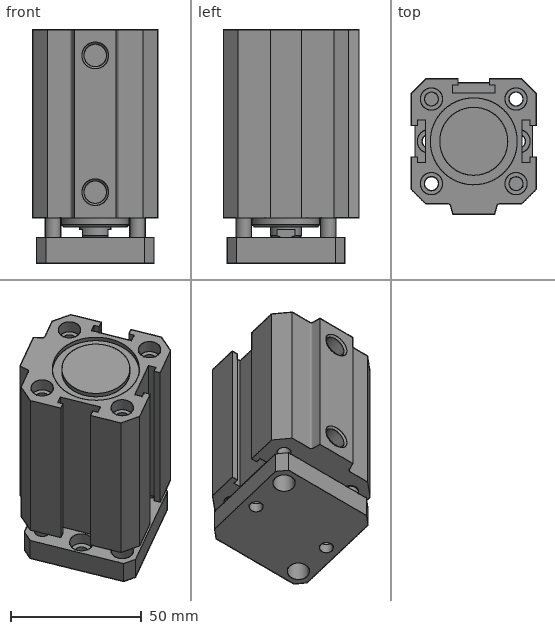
import cadquery as cq
import math

TOTAL_HEIGHT = 89.5
PLATE_THICKNESS = 10.0
HOUSING_BOTTOM = 17.45
HOUSING_HEIGHT = TOTAL_HEIGHT - HOUSING_BOTTOM

HOUSING_SIDE = 48.0
HOUSING_CHAMFER = 5.6
SLOT_MOUTH_WIDTH = 12.0
SLOT_INNER_WIDTH = 16.2
SLOT_LIP = 2.5
SLOT_DEPTH = 5.5

PAD_HEIGHT = 4.0
PAD_TIP_WIDTH = 16.0
PAD_SLOPE = 15.0
PAD_ROOT_RADIUS = 1.0

PORT_DIAMETER = 8.6
PORT_RIM_CHAMFER = 0.8
PORT_DEPTH = 10.0
PORT_END_DISTANCE = 9.85

CORNER_OFFSET = 16.2
MOUNT_DIAMETER = 5.3
MOUNT_BORE_DIAMETER = 8.5
MOUNT_BORE_DEPTH = 5.55

RING_OUTER_DIAMETER = 33.3
RING_INNER_DIAMETER = 26.0
RING_DEPTH = 1.9

COLLAR_DIAMETER = 26.0
COLLAR_LENGTH = 3.6
COLLAR_CHAMFER = 1.0
PISTON_ROD_DIAMETER = 12.0
PISTON_ROD_CHAMFER = 0.6
ROD_FLATS_WIDTH = 9.9
ROD_FLATS_TOP = 13.0

PLATE_SIDE = 45.0
PLATE_CHAMFER = 3.6
GUIDE_ROD_DIAMETER = 6.0
ACCESS_DIAMETER = 8.5
PLATE_SCREW_OFFSET = 17.1
PLATE_SCREW_DIAMETER = 5.3
PLATE_SCREW_BORE_DIAMETER = 9.0
PLATE_SCREW_BORE_DEPTH = 5.4

HALF_SIDE = HOUSING_SIDE / 2
GUIDE_ROD_CENTERS = [(-CORNER_OFFSET, CORNER_OFFSET), (CORNER_OFFSET, -CORNER_OFFSET)]
ACCESS_CENTERS = [(-CORNER_OFFSET, -CORNER_OFFSET), (CORNER_OFFSET, CORNER_OFFSET)]
PLATE_SCREW_CENTERS = [(-PLATE_SCREW_OFFSET, 0), (PLATE_SCREW_OFFSET, 0)]


def level(z):
    return cq.Workplane("XY").workplane(offset=z)


def chamfered_block(side, height, chamfer, bottom):
    block = level(bottom).rect(side, side).extrude(height)
    return block.edges("|Z").chamfer(chamfer)


def cylinders(centers, diameter, height):
    return level(0).pushPoints(centers).circle(diameter / 2).extrude(height)


def port_pad():
    """Tapered pad along the -Y face, with rounded inner corners at its root."""
    slope = math.radians(PAD_SLOPE)
    tip_half = PAD_TIP_WIDTH / 2
    tip_y = -HALF_SIDE - PAD_HEIGHT
    corner_half = tip_half + PAD_HEIGHT * math.tan(slope)
    turn = math.pi / 2 - slope
    tangent = PAD_ROOT_RADIUS * math.tan(turn / 2)
    face_half = corner_half + tangent
    arc_end = (corner_half - tangent * math.sin(slope), -HALF_SIDE - tangent * math.cos(slope))
    arc_mid = (
        face_half - PAD_ROOT_RADIUS * math.sin(turn / 2),
        -HALF_SIDE - PAD_ROOT_RADIUS * (1 - math.cos(turn / 2)),
    )
    outline = (
        level(HOUSING_BOTTOM)
        .moveTo(face_half, -HALF_SIDE)
        .threePointArc(arc_mid, arc_end)
        .lineTo(tip_half, tip_y)
        .lineTo(-tip_half, tip_y)
        .lineTo(-arc_end[0], arc_end[1])
        .threePointArc((-arc_mid[0], arc_mid[1]), (-face_half, -HALF_SIDE))
        .lineTo(-face_half, -HALF_SIDE + SLOT_DEPTH)
        .lineTo(face_half, -HALF_SIDE + SLOT_DEPTH)
        .close()
    )
    return outline.extrude(HOUSING_HEIGHT)


def t_slot(angle):
    """T-shaped groove along the full height; angle 0 puts it in the +Y face."""
    mouth = (
        level(HOUSING_BOTTOM)
        .center(0, HALF_SIDE - SLOT_DEPTH / 2)
        .rect(SLOT_MOUTH_WIDTH, SLOT_DEPTH)
        .extrude(HOUSING_HEIGHT)
    )
    inner = (
        level(HOUSING_BOTTOM)
        .center(0, HALF_SIDE - (SLOT_DEPTH + SLOT_LIP) / 2)
        .rect(SLOT_INNER_WIDTH, SLOT_DEPTH - SLOT_LIP)
        .extrude(HOUSING_HEIGHT)
    )
    return mouth.union(inner).rotate((0, 0, 0), (0, 0, 1), angle)


def air_port(z):
    """Blind port from the pad face, with a chamfered rim."""
    radius = PORT_DIAMETER / 2
    rim_radius = radius + PORT_RIM_CHAMFER
    profile = [
        (0, 0),
        (rim_radius, 0),
        (radius, PORT_RIM_CHAMFER),
        (radius, PORT_DEPTH),
        (0, PORT_DEPTH),
    ]
    port = cq.Workplane("XY").polyline(profile).close().revolve(360, (0, 0, 0), (0, 1, 0))
    return port.translate((0, -HALF_SIDE - PAD_HEIGHT, z))


def piston_rod():
    """Rod from the housing underside to the plate, with two wrench flats facing X."""
    length = HOUSING_BOTTOM - PLATE_THICKNESS
    rod = level(PLATE_THICKNESS).circle(PISTON_ROD_DIAMETER / 2).extrude(length)
    rod = rod.faces("<Z").chamfer(PISTON_ROD_CHAMFER)
    flats_height = ROD_FLATS_TOP - PLATE_THICKNESS
    flats_zone = level(PLATE_THICKNESS).rect(PISTON_ROD_DIAMETER, PISTON_ROD_DIAMETER).extrude(flats_height)
    kept = level(PLATE_THICKNESS).rect(ROD_FLATS_WIDTH, PISTON_ROD_DIAMETER).extrude(flats_height)
    return rod.cut(flats_zone.cut(kept))


def make_housing():
    body = chamfered_block(HOUSING_SIDE, HOUSING_HEIGHT, HOUSING_CHAMFER, HOUSING_BOTTOM)
    body = body.union(port_pad())
    for angle in (0, 90, 270):
        body = body.cut(t_slot(angle))
    for z in (HOUSING_BOTTOM + PORT_END_DISTANCE, TOTAL_HEIGHT - PORT_END_DISTANCE):
        body = body.cut(air_port(z))

    body = (
        body.faces(">Z")
        .workplane(origin=(0, 0, TOTAL_HEIGHT))
        .pushPoints(GUIDE_ROD_CENTERS + ACCESS_CENTERS)
        .cboreHole(MOUNT_DIAMETER, MOUNT_BORE_DIAMETER, MOUNT_BORE_DEPTH, HOUSING_HEIGHT)
    )

    ring = (
        level(TOTAL_HEIGHT)
        .circle(RING_OUTER_DIAMETER / 2)
        .circle(RING_INNER_DIAMETER / 2)
        .extrude(-RING_DEPTH)
    )
    collar = level(HOUSING_BOTTOM).circle(COLLAR_DIAMETER / 2).extrude(-COLLAR_LENGTH)
    collar = collar.faces("<Z").chamfer(COLLAR_CHAMFER)
    return body.cut(ring).union(collar).union(piston_rod())


def make_guide_plate():
    """End plate with two guide rods that reach the housing underside."""
    plate = chamfered_block(PLATE_SIDE, PLATE_THICKNESS, PLATE_CHAMFER, 0)
    plate = (
        plate.faces(">Z")
        .workplane(origin=(0, 0, PLATE_THICKNESS))
        .pushPoints(PLATE_SCREW_CENTERS)
        .cboreHole(PLATE_SCREW_DIAMETER, PLATE_SCREW_BORE_DIAMETER, PLATE_SCREW_BORE_DEPTH)
    )
    access_holes = cylinders(ACCESS_CENTERS, ACCESS_DIAMETER, PLATE_THICKNESS)
    guide_rods = cylinders(GUIDE_ROD_CENTERS, GUIDE_ROD_DIAMETER, HOUSING_BOTTOM)
    return plate.cut(access_holes).union(guide_rods)


housing = make_housing()
guide_plate = make_guide_plate()

result = cq.Compound.makeCompound([housing.val(), guide_plate.val()])